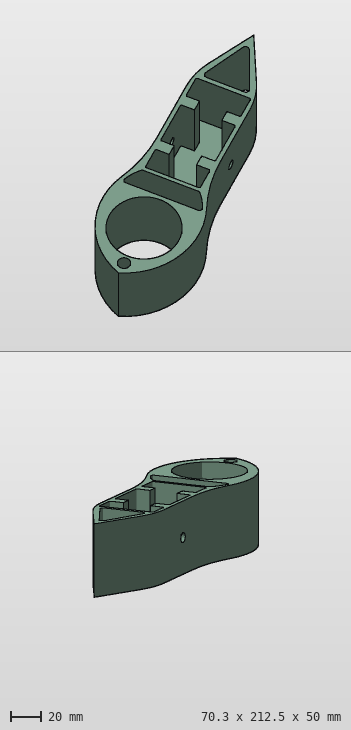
import cadquery as cq
import math

HEIGHT = 50.0
LENGTH = 212.5
TAIL_Y = -40.2
TIP_Y = TAIL_Y + LENGTH

HEAD_HALF_WIDTH = 35.17
HEAD_RADIUS = 54.2
NECK_RADIUS = 98.8
SHANK_HALF_WIDTH = 23.2
SHANK_TOP_Y = 115.8
SHOULDER_RADIUS = 50.0

BORE_DIAMETER = 50.4
TAIL_HOLE_DIAMETER = 8.7
TAIL_HOLE_Y = -31.5

POCKET_WIDTH = 40.0
POCKET_LENGTH = 80.0
POCKET_Y = 84.8
POCKET_CORNER_RADIUS = 1.0
FLOOR = 3.0
RIB_GAP = 20.0
RIB_THICKNESS = 7.9
RIB_SPACING = 39.7

CROSS_HOLE_DIAMETER = 6.5
CROSS_HOLE_Y = 86.5

TIP_WINDOW_BASE_Y = 128.0
TIP_WINDOW_APEX_Y = 165.1
TIP_WINDOW_HALF_WIDTH = 17.6
TIP_WINDOW_RADIUS = 2.5
NECK_WINDOW_BASE_Y = 28.0
NECK_WINDOW_TOP_Y = 42.0
NECK_WINDOW_BASE_HALF_WIDTH = 29.1
NECK_WINDOW_TOP_HALF_WIDTH = 20.8
NECK_WINDOW_BULGE = 1.0
NECK_WINDOW_RADIUS = 2.0


def point_on_circle(center, radius, angle):
    return (center[0] + radius * math.cos(angle), center[1] + radius * math.sin(angle))


def mirrored(point):
    return (-point[0], point[1])


def make_body():
    """Pointed at both ends; each side is a chain of tangent arcs and lines."""
    head_x = HEAD_HALF_WIDTH - HEAD_RADIUS
    head = (head_x, TAIL_Y + math.sqrt(HEAD_RADIUS**2 - head_x**2))
    tail_angle = math.atan2(TAIL_Y - head[1], -head_x)

    neck_x = SHANK_HALF_WIDTH + NECK_RADIUS
    rise = math.sqrt((HEAD_RADIUS + NECK_RADIUS)**2 - (neck_x - head_x)**2)
    neck = (neck_x, head[1] + rise)
    join_angle = math.atan2(rise, neck_x - head_x)

    shoulder = (SHANK_HALF_WIDTH - SHOULDER_RADIUS, SHANK_TOP_Y)
    to_tip = (-shoulder[0], TIP_Y - SHANK_TOP_Y)
    tip_angle = math.atan2(to_tip[1], to_tip[0]) - math.acos(SHOULDER_RADIUS / math.hypot(*to_tip))

    tail = (0, TAIL_Y)
    tip = (0, TIP_Y)
    head_mid = point_on_circle(head, HEAD_RADIUS, (tail_angle + join_angle) / 2)
    head_end = point_on_circle(head, HEAD_RADIUS, join_angle)
    neck_mid = point_on_circle(neck, NECK_RADIUS, math.pi + join_angle / 2)
    shank_start = (SHANK_HALF_WIDTH, neck[1])
    shank_end = (SHANK_HALF_WIDTH, SHANK_TOP_Y)
    shoulder_mid = point_on_circle(shoulder, SHOULDER_RADIUS, tip_angle / 2)
    shoulder_end = point_on_circle(shoulder, SHOULDER_RADIUS, tip_angle)

    outline = (
        cq.Workplane("XY")
        .moveTo(*tail)
        .threePointArc(head_mid, head_end)
        .threePointArc(neck_mid, shank_start)
        .lineTo(*shank_end)
        .threePointArc(shoulder_mid, shoulder_end)
        .lineTo(*tip)
        .lineTo(*mirrored(shoulder_end))
        .threePointArc(mirrored(shoulder_mid), mirrored(shank_end))
        .lineTo(*mirrored(shank_start))
        .threePointArc(mirrored(neck_mid), mirrored(head_end))
        .threePointArc(mirrored(head_mid), tail)
        .close()
    )
    return outline.extrude(HEIGHT)


def vertical_hole(y, diameter):
    return cq.Workplane("XY").center(0, y).circle(diameter / 2).extrude(HEIGHT)


def make_pocket():
    """Pocket space: three rounded bays joined by the channel between the ribs."""
    depth = HEIGHT - FLOOR
    base = cq.Workplane("XY", origin=(0, POCKET_Y, FLOOR))
    pocket = base.rect(RIB_GAP, POCKET_LENGTH).extrude(depth)
    middle_length = RIB_SPACING - RIB_THICKNESS
    end_length = (POCKET_LENGTH - RIB_SPACING - RIB_THICKNESS) / 2
    end_offset = (POCKET_LENGTH - end_length) / 2
    for offset, length in ((-end_offset, end_length), (0, middle_length), (end_offset, end_length)):
        bay = base.center(0, offset).rect(POCKET_WIDTH, length).extrude(depth)
        pocket = pocket.union(bay.edges("|Z").fillet(POCKET_CORNER_RADIUS))
    return pocket


def make_cross_hole():
    hole = cq.Workplane("YZ").center(CROSS_HOLE_Y, HEIGHT / 2).circle(CROSS_HOLE_DIAMETER / 2)
    return hole.extrude(HEAD_HALF_WIDTH, both=True)


def make_tip_window():
    """Triangle with rounded corners."""
    left = (-TIP_WINDOW_HALF_WIDTH, TIP_WINDOW_BASE_Y)
    apex = (0, TIP_WINDOW_APEX_Y)
    window = cq.Workplane("XY").polyline([left, mirrored(left), apex]).close().extrude(HEIGHT)
    return window.edges("|Z").fillet(TIP_WINDOW_RADIUS)


def make_neck_window():
    """Trapezoid with outward-bowed sides and rounded corners."""
    base = (NECK_WINDOW_BASE_HALF_WIDTH, NECK_WINDOW_BASE_Y)
    top = (NECK_WINDOW_TOP_HALF_WIDTH, NECK_WINDOW_TOP_Y)
    window = (
        cq.Workplane("XY")
        .moveTo(*mirrored(base))
        .lineTo(*base)
        .sagittaArc(top, -NECK_WINDOW_BULGE)
        .lineTo(*mirrored(top))
        .sagittaArc(mirrored(base), -NECK_WINDOW_BULGE)
        .close()
        .extrude(HEIGHT)
    )
    return window.edges("|Z").fillet(NECK_WINDOW_RADIUS)


result = (
    make_body()
    .cut(vertical_hole(0, BORE_DIAMETER))
    .cut(vertical_hole(TAIL_HOLE_Y, TAIL_HOLE_DIAMETER))
    .cut(make_pocket())
    .cut(make_cross_hole())
    .cut(make_tip_window())
    .cut(make_neck_window())
)